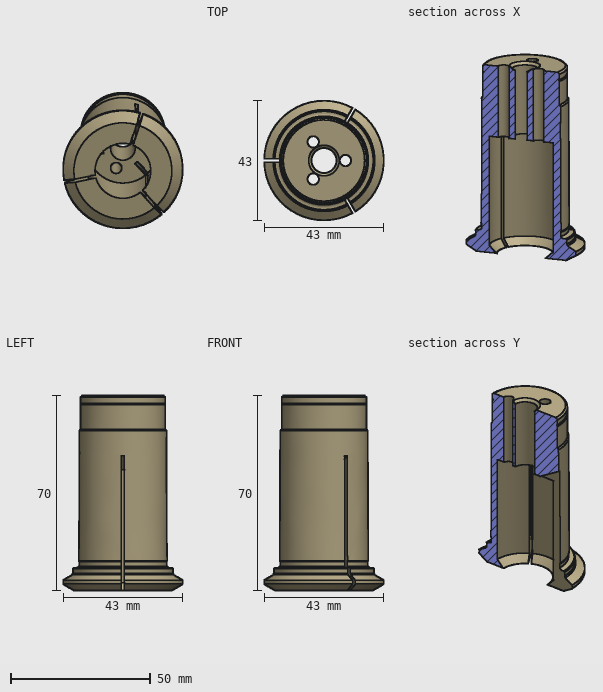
import cadquery as cq
import math

height = 70.0
flange_diameter = 43.0
cone_angle = math.radians(30)

head_radius = 30.5 / 2
head_chamfer = 0.7
head_bottom = 57.9
groove_top = 67.2
groove_depth = 0.3
groove_height = 0.55

sleeve_top_radius = 15.75
sleeve_bottom_radius = 15.925
shoulder_height = 0.6
sleeve_bottom = 10.8
neck_chamfer_height = 0.4
neck_radius = 15.75
neck_bottom = 8.2
neck_fillet_radius = 1.5
neck_fillet_width = 1.2

collar_radius = 18.0
collar_chamfer = 0.35
collar_bottom = 6.0
collar_fillet = 0.3
flange_radius = flange_diameter / 2
flange_rim_top = 3.8
flange_rim_bottom = 2.4
flange_chamfer = 0.3

bore_radius = 25.6 / 2
mouth_radius = 20.0 / 2
bore_top = 43.3
centre_hole_radius = 8.9 / 2
centre_hole_chamfer = 1.05
pin_hole_diameter = 4.0
pin_circle_radius = 7.7

segment_count = 3
slot_width = 1.1
slot_top = 48.3
first_slot_angle = 60.0


def make_body():
    """Revolve the outer outline around Z."""
    groove_bottom = groove_top - groove_height
    flange_cone_top = flange_rim_top + (flange_radius - collar_radius - collar_fillet) * math.tan(cone_angle)
    flange_base_z = flange_rim_bottom - flange_chamfer
    flange_base_radius = flange_radius - flange_chamfer
    foot_radius = flange_base_radius - flange_base_z / math.tan(cone_angle)
    fillet_outer_radius = neck_radius + neck_fillet_width
    fillet_sweep = math.asin(neck_fillet_width / neck_fillet_radius)

    def fillet_point(sweep):
        rise = neck_fillet_radius * (1 - math.cos(sweep))
        return fillet_outer_radius - neck_fillet_radius * math.sin(sweep), neck_bottom + rise

    outline = (
        cq.Workplane("XZ")
        .moveTo(0, 0)
        .lineTo(foot_radius, 0)
        .lineTo(flange_base_radius, flange_base_z)
        .lineTo(flange_radius, flange_rim_bottom)
        .lineTo(flange_radius, flange_rim_top)
        .lineTo(collar_radius + collar_fillet, flange_cone_top)
        .lineTo(collar_radius, collar_bottom + collar_fillet)
        .lineTo(collar_radius, neck_bottom - collar_chamfer)
        .lineTo(collar_radius - collar_chamfer, neck_bottom)
        .lineTo(fillet_outer_radius, neck_bottom)
        .threePointArc(fillet_point(fillet_sweep / 2), fillet_point(fillet_sweep))
        .lineTo(neck_radius, sleeve_bottom - neck_chamfer_height)
        .lineTo(sleeve_bottom_radius, sleeve_bottom)
        .lineTo(sleeve_top_radius, head_bottom - shoulder_height)
        .lineTo(head_radius, head_bottom)
        .lineTo(head_radius, groove_bottom)
        .lineTo(head_radius - groove_depth, groove_top - groove_depth / 2)
        .lineTo(head_radius, groove_top)
        .lineTo(head_radius, height - head_chamfer)
        .lineTo(head_radius - head_chamfer, height)
        .lineTo(0, height)
        .close()
    )
    return outline.revolve(360, (0, 0, 0), (0, 1, 0))


def make_bore():
    """Revolve the stepped cavity: narrowed mouth, flat-topped bore and centre hole."""
    mouth_height = bore_radius - mouth_radius
    outline = (
        cq.Workplane("XZ")
        .moveTo(0, 0)
        .lineTo(mouth_radius, 0)
        .lineTo(bore_radius, mouth_height)
        .lineTo(bore_radius, bore_top)
        .lineTo(centre_hole_radius, bore_top)
        .lineTo(centre_hole_radius, height - centre_hole_chamfer)
        .lineTo(centre_hole_radius + centre_hole_chamfer, height)
        .lineTo(0, height)
        .close()
    )
    return outline.revolve(360, (0, 0, 0), (0, 1, 0))


def make_pin_holes():
    """Through holes spaced evenly around the centre hole."""
    return (
        cq.Workplane("XY")
        .polarArray(pin_circle_radius, 0, 360, segment_count)
        .circle(pin_hole_diameter / 2)
        .extrude(height)
    )


def make_slot(angle):
    """Radial slot, open at the bottom, whose sloped end rises outwards from the bore roof."""
    slope_length = (slot_top - bore_top) / math.tan(cone_angle)
    slot = (
        cq.Workplane("XZ")
        .moveTo(0, 0)
        .lineTo(flange_diameter, 0)
        .lineTo(flange_diameter, slot_top)
        .lineTo(sleeve_top_radius, slot_top)
        .lineTo(sleeve_top_radius - slope_length, bore_top)
        .lineTo(0, bore_top)
        .close()
        .extrude(slot_width / 2, both=True)
    )
    return slot.rotate((0, 0, 0), (0, 0, 1), angle)


result = make_body().cut(make_bore()).cut(make_pin_holes())
for index in range(segment_count):
    result = result.cut(make_slot(first_slot_angle + index * 360 / segment_count))